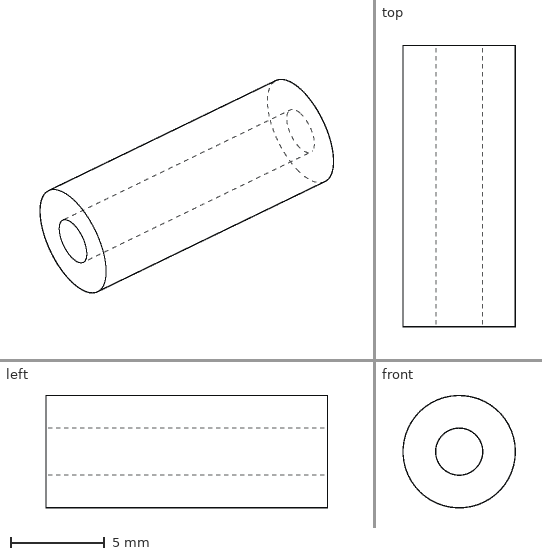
import cadquery as cq

outer_diameter = 6.0
bore_diameter = 2.5
length = 15.0

result = (
    cq.Workplane("XZ", origin=(0, length / 2, 0))
    .circle(outer_diameter / 2)
    .circle(bore_diameter / 2)
    .extrude(length)
)